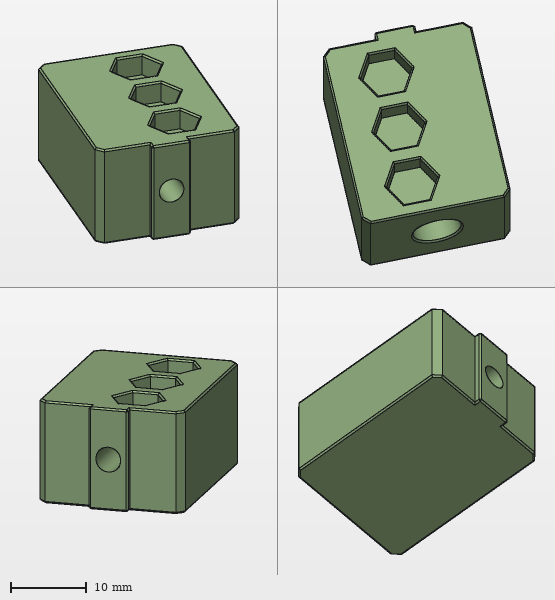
import cadquery as cq

total_length = 26.75
body_depth = 20.0
height = 14.0
tab_reach = 1.0
tab_width = 5.4
body_length = total_length - tab_reach

corner_chamfer = 1.0
edge_chamfer = 0.25
chamfer_angle = 45

pocket_count = 3
pocket_pitch = 8.0
pocket_flats = 6.0
pocket_depth = 3.0
first_pocket_x = 4.75
pocket_row_y = 2.38

hole_diameter = 3.4
counterbore_diameter = 6.5
counterbore_depth = 3.0


def make_body():
    """Block with its left face at X = 0, centred in Y, standing on Z = 0."""
    block = cq.Workplane("XY").box(body_length, body_depth, height, centered=(False, True, False))
    block = block.edges("|Z").chamfer(corner_chamfer)
    return block.faces("<Z or >Z").edges().chamfer(edge_chamfer)


def make_tab():
    """Full-height tab, rooted inside the body past its edge chamfer."""
    root = corner_chamfer
    tab = cq.Workplane("XY").box(tab_reach + root, tab_width, height, centered=(False, True, False))
    tab = tab.edges("(|X) or (>X)").chamfer(edge_chamfer)
    return tab.translate((body_length - root, 0, 0))


def make_pocket(center_x):
    """Hexagonal pocket cutter, points along Y, with a flared mouth."""
    def hexagon(flats, z):
        corner_diameter = 2 * flats / 3**0.5
        plane = cq.Workplane("XY", origin=(center_x, pocket_row_y, z))
        return plane.transformed(rotate=(0, 0, 90)).polygon(6, corner_diameter)

    shaft = hexagon(pocket_flats, height - pocket_depth).extrude(pocket_depth)
    mouth = hexagon(pocket_flats + 2 * edge_chamfer, height).extrude(-edge_chamfer, taper=chamfer_angle)
    return shaft.union(mouth)


def make_hole():
    """Through hole with a chamfered counterbore in the left face."""
    face = cq.Workplane("YZ", origin=(0, 0, height / 2))
    hole = face.circle(hole_diameter / 2).extrude(total_length)
    counterbore = face.circle(counterbore_diameter / 2).extrude(counterbore_depth)
    mouth = face.circle(counterbore_diameter / 2 + edge_chamfer).extrude(edge_chamfer, taper=chamfer_angle)
    return hole.union(counterbore).union(mouth)


result = make_body().union(make_tab())
for index in range(pocket_count):
    result = result.cut(make_pocket(first_pocket_x + index * pocket_pitch))
result = result.cut(make_hole())